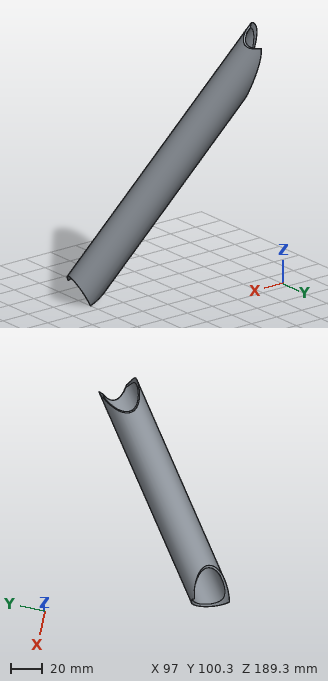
import cadquery as cq
tube_radius = 12.5
wall_thickness = 1.5
lower_joint = cq.Vector(0, 0, 0)
upper_joint = cq.Vector(-89.5, 84.7, 184.6)

crossbar_radius = 12.5
post_radius = 15.0
post_direction = cq.Vector(0, 0.16, 0.987)

cope_reach = 120.0


def rod(start, end, radius):
    """Solid cylinder between two points."""
    axis = end - start
    return cq.Workplane(cq.Solid.makeCylinder(radius, axis.Length, start, axis.normalized()))


def rod_through(centre, direction, radius):
    """Solid cylinder centred on a point and running both ways along a direction."""
    reach = direction.normalized() * cope_reach
    return rod(centre - reach, centre + reach, radius)


def strut_blank():
    """Plain tube whose ends reach the two joint centres."""
    outer = rod(lower_joint, upper_joint, tube_radius)
    bore = rod(lower_joint, upper_joint, tube_radius - wall_thickness)
    return outer.cut(bore)


def cope_crossbar(body, joint):
    """Cope the strut around a crossbar that runs along X through a joint."""
    return body.cut(rod_through(joint, cq.Vector(1, 0, 0), crossbar_radius))


def cope_post(body):
    """Cope the upper end around the leaning post that passes through the upper joint."""
    return body.cut(rod_through(upper_joint, post_direction, post_radius))


def main_piece(body):
    """Keep the strut itself and drop any offcuts left beyond the coping cuts."""
    return cq.Workplane(max(body.solids().vals(), key=lambda piece: piece.Volume()))


strut = strut_blank()
for joint in (lower_joint, upper_joint):
    strut = cope_crossbar(strut, joint)
strut = cope_post(strut)
result = main_piece(strut)